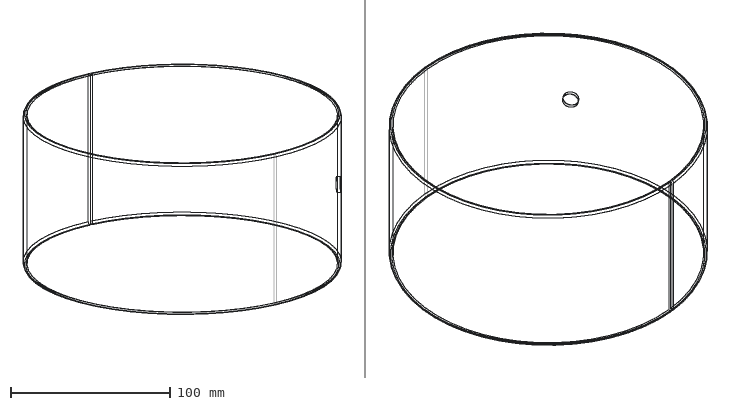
import cadquery as cq

outer_diameter = 200.0
outer_radius = outer_diameter / 2
height = outer_diameter / 2
inner_diameter = 195.0
inner_radius = inner_diameter / 2

bevel_height = 1.8
bevel_depth = 0.8
inner_chamfer = 0.8

split_width = 1.5

hole_diameter = 10.0
hole_angle = 59.2


def bevelled_ring():
    """Revolve the wall section, centred on the origin, about the Z axis."""
    top = height / 2
    outer_shoulder = top - bevel_height
    inner_shoulder = top - inner_chamfer
    section = [
        (inner_radius, -inner_shoulder),
        (inner_radius + inner_chamfer, -top),
        (outer_radius - bevel_depth, -top),
        (outer_radius, -outer_shoulder),
        (outer_radius, outer_shoulder),
        (outer_radius - bevel_depth, top),
        (inner_radius + inner_chamfer, top),
        (inner_radius, inner_shoulder),
    ]
    return cq.Workplane("XZ").polyline(section).close().revolve(360, (0, 0), (0, 1))


def split_cutter():
    """Full-height slab that crosses only the -X wall."""
    slab = cq.Workplane("XY").box(outer_diameter, split_width, height)
    return slab.translate((-outer_radius, split_width / 2, 0))


def hole_cutter():
    """Radial cylinder from the axis outward through one wall."""
    cylinder = cq.Workplane("YZ").circle(hole_diameter / 2).extrude(outer_diameter)
    return cylinder.rotate((0, 0, 0), (0, 0, 1), hole_angle)


result = bevelled_ring().cut(split_cutter()).cut(hole_cutter())